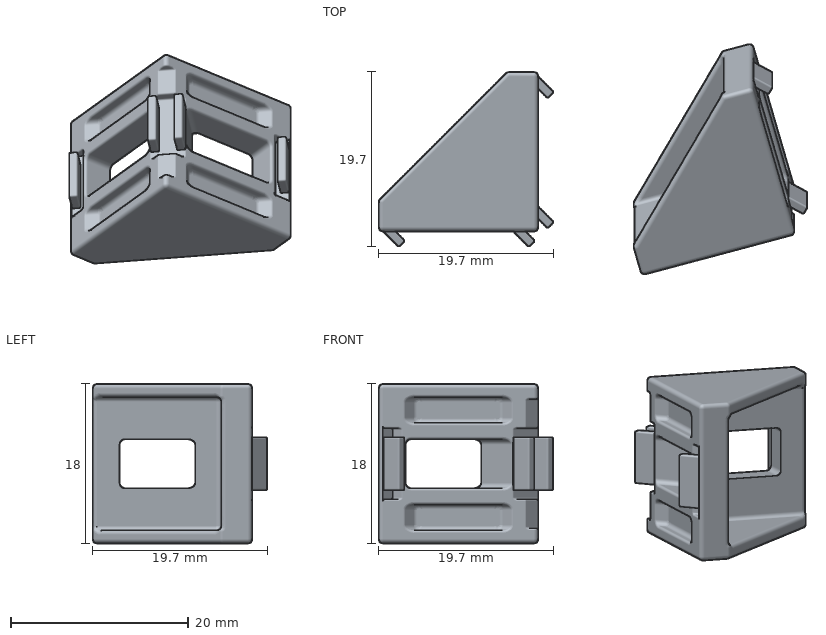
import cadquery as cq
import math


SIZE = 18.0
FLANGE = 3.5
CHEEK = 1.5
EDGE_R = 0.5
INNER_CORNER_R = 0.6

OPENING_RIM_R = 0.3
OPENING_CORNER_R = 0.6
OPENING_START = 2.95
SLOT_LENGTH = 12.0
SLOT_WIDTH = 5.5
SLOT_OVERRUN = 0.6
POCKET_LENGTH = 12.15
POCKET_WIDTH = 2.9
POCKET_DEPTH = 1.2
POCKET_Z = SIZE / 2 - CHEEK - POCKET_WIDTH / 2
POCKET_FLOOR_R = 0.5

NOTCH_DEPTH = 1.0
NOTCH_WIDTH = 14.6
SEAT_DEPTH = 2.0
GROOVE_SIDE = 1.5
RECESS_WIDTH = 8.0
RECESS_R = 0.2

TAB_LENGTH = 2.5
TAB_THICKNESS = 1.0
TAB_WIDTH = 6.0
TAB_R = 0.2

DIAGONAL = math.sqrt(2)
NOTCH_LEG = NOTCH_DEPTH * DIAGONAL
SEAT_LEG = SEAT_DEPTH * DIAGONAL
GROOVE_LEG = GROOVE_SIDE / DIAGONAL
GROOVE_START = -(SIZE - EDGE_R)
MARGIN = 1.0
TOLERANCE = 1e-4


def across(shape):
    """Mirror a shape about the plane X + Y = 0."""
    return shape.mirror("XZ").rotate((0, 0, 0), (0, 0, 1), -90)


def prism(points, width):
    """Extrude an XY outline symmetrically about Z = 0."""
    return cq.Workplane("XY").polyline(points).close().extrude(width / 2, both=True)


def make_body():
    """Triangular shell, open along its sloping side, with every edge rounded."""
    outline = [(0, 0), (-SIZE, 0), (-SIZE, FLANGE), (-FLANGE, SIZE), (0, SIZE)]
    body = prism(outline, SIZE).edges().fillet(EDGE_R)
    far = 2 * SIZE
    hollow = prism(
        [(-FLANGE, FLANGE), (-far, FLANGE), (-far, far), (-FLANGE, far)],
        SIZE - 2 * CHEEK,
    )
    flange_corner = cq.NearestToPointSelector((-FLANGE, FLANGE, 0))
    hollow = hollow.edges("|Z").edges(flange_corner).fillet(INNER_CORNER_R)
    hollow = hollow.faces("<Y").edges("|X").fillet(EDGE_R)
    return body.cut(hollow).edges().filter(is_hollow_rim).fillet(EDGE_R)


def is_hollow_rim(edge):
    """True for edges around the mouth of the hollow, on the sloping side and the end faces."""
    box = edge.BoundingBox()
    middle = edge.Center()
    between_cheeks = max(box.zmax, -box.zmin) < SIZE / 2 - CHEEK + TOLERANCE
    inside_flanges = box.ymin > FLANGE - EDGE_R and box.xmax < -FLANGE + EDGE_R
    return between_cheeks and inside_flanges and middle.y - middle.x > SIZE + FLANGE - EDGE_R


def cut_corner_recess(body):
    """Bevel the outer corner twice: a wide shallow notch, then the narrow deep tab seat."""
    far = SEAT_LEG + MARGIN
    for leg, width in ((NOTCH_LEG, NOTCH_WIDTH), (SEAT_LEG, RECESS_WIDTH)):
        bevel = prism([(-leg, 0), (0, leg), (far, leg), (far, -far), (-leg, -far)], width)
        bevel_face = cq.NearestToPointSelector((-leg / 2, leg / 2, 0))
        bevel = bevel.faces(bevel_face).edges("not |Z").fillet(RECESS_R)
        body = body.cut(bevel)
    return body.edges().filter(is_corner_rim).fillet(RECESS_R)


def is_corner_rim(edge):
    """True for the sharp convex edges around the notch and the tab seat."""
    box = edge.BoundingBox()
    in_corner = box.xmin > -SEAT_LEG - TOLERANCE and box.ymax < SEAT_LEG + TOLERANCE
    in_recess = max(box.zmax, -box.zmin) < NOTCH_WIDTH / 2 + TOLERANCE
    on_mounting_face = box.ymax < TOLERANCE or box.xmin > -TOLERANCE
    middle = edge.Center()
    diagonal_depth = (middle.y - middle.x) / DIAGONAL
    in_notch_face = abs(diagonal_depth - NOTCH_DEPTH) < TOLERANCE
    on_seat_step = in_notch_face and is_at_height(box, RECESS_WIDTH / 2)
    on_body_corner = edge.geomType() == "CIRCLE" and is_at_height(box, NOTCH_WIDTH / 2)
    return in_corner and in_recess and (on_mounting_face or on_seat_step or on_body_corner)


def is_at_height(box, height):
    """True if a bounding box lies in one of the planes Z = +height or Z = -height."""
    return box.zlen < TOLERANCE and abs(abs(box.center.z) - height) < TOLERANCE


def flare(plug, rim_radius):
    """Join a plug to a slab outside the Y = 0 face and round the junction to flare its mouth."""
    slab_width = 2 * SIZE
    slab = cq.Workplane("XY").box(slab_width, MARGIN, slab_width)
    slab = slab.translate((-SIZE / 2, -MARGIN / 2, 0))
    return slab.union(plug).edges().filter(is_mouth).fillet(rim_radius)


def is_mouth(edge):
    """True for edges in the plane Y = 0 within the flange, leaving out the slab's border."""
    box = edge.BoundingBox()
    in_plane = max(abs(box.ymin), abs(box.ymax)) < TOLERANCE
    return in_plane and max(box.zmax, -box.zmin) < SIZE / 2 and box.xmax < 0


def make_groove():
    """V groove cutter beside the flange end; one of its sides carries the end tab."""
    bottom = GROOVE_START + GROOVE_LEG
    end = bottom + GROOVE_LEG
    groove = prism([(GROOVE_START, 0), (bottom, GROOVE_LEG), (end, 0)], RECESS_WIDTH)
    far_side = cq.NearestToPointSelector(((bottom + end) / 2, GROOVE_LEG / 2, 0))
    groove = groove.faces(far_side).edges("not |Z").fillet(RECESS_R)
    return flare(groove, RECESS_R)


def make_slot():
    """Through slot cutter; the end nearer the corner slopes at 45 degrees."""
    start = -OPENING_START
    end = start - SLOT_LENGTH
    depth = FLANGE + SLOT_OVERRUN
    slot = prism([(start, 0), (end, 0), (end, depth), (start - depth, depth)], SLOT_WIDTH)
    slot = slot.edges("not (|X or |Z)").fillet(OPENING_CORNER_R)
    return flare(slot, OPENING_RIM_R)


def make_pocket():
    """Blind pocket cutter with both ends sloping inwards at 45 degrees and a rounded floor."""
    start = -OPENING_START
    end = start - POCKET_LENGTH
    depth = POCKET_DEPTH
    outline = [(start, 0), (end, 0), (end + depth, depth), (start - depth, depth)]
    pocket = prism(outline, POCKET_WIDTH)
    pocket = pocket.edges("not (|X or |Z)").fillet(OPENING_CORNER_R)
    pocket = pocket.faces(">Y").edges().fillet(POCKET_FLOOR_R)
    return flare(pocket, OPENING_RIM_R)


def make_tab(root_x):
    """Clip tab standing at 45 degrees, its outer edge rooted at (root_x, 0)."""
    root = cq.Plane(origin=(root_x, 0, 0), xDir=(1, 1, 0), normal=(1, -1, 0))
    tab = cq.Workplane(root).rect(TAB_THICKNESS, TAB_WIDTH).extrude(TAB_LENGTH)
    shift = TAB_THICKNESS / 2 / DIAGONAL
    tab = tab.translate((shift, shift, 0))

    def is_free(edge):
        """True for every edge outside the root face."""
        middle = edge.Center()
        return middle.x - middle.y > root_x + TOLERANCE

    free_edges = tab.edges().filter(is_free)
    return free_edges.fillet(TAB_R)


def make_bracket():
    """Cut the recesses and openings into both flanges, then add the four clip tabs."""
    bracket = cut_corner_recess(make_body())
    pocket = make_pocket()
    cutters = [make_groove(), make_slot()]
    cutters += [pocket.translate((0, 0, side * POCKET_Z)) for side in (1, -1)]
    tabs = [make_tab(root_x) for root_x in (GROOVE_START, -SEAT_LEG)]
    for cutter in cutters:
        bracket = bracket.cut(cutter).cut(across(cutter))
    for tab in tabs:
        bracket = bracket.union(tab).union(across(tab))
    return bracket


result = make_bracket()